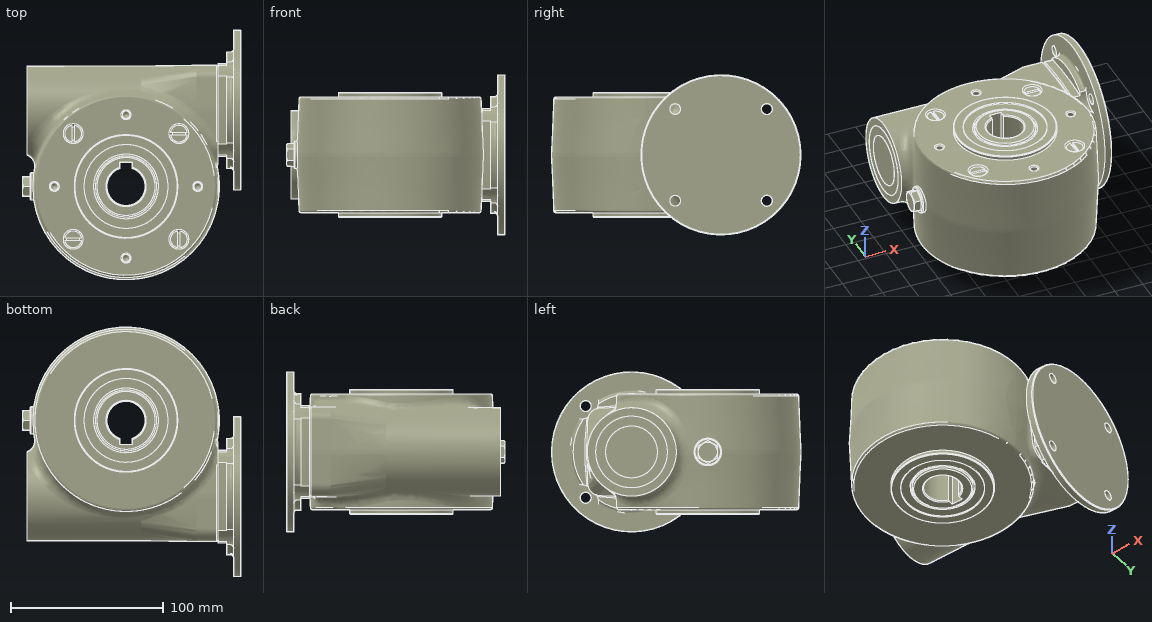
import cadquery as cq
import math

DRUM_RADIUS = 61.22
DRUM_END_RADIUS = 59.7
DRUM_HALF_HEIGHT = 38.0
DRUM_EDGE_ROUND = 1.5
PARTING_BAND_HALF_WIDTH = 1.25

HUB_DIAMETER = 68.0
HUB_HALF_HEIGHT = 41.0
HUB_CHAMFER = 0.5
SEAL_DIAMETER = 55.0
SEAL_RECESS_DEPTH = 1.0
SEAL_LIP_DIAMETER = 42.5
SHAFT_DIAMETER = 40.0
SHAFT_CHAMFER = 1.0
SHAFT_GROOVE_DEPTH = 2.0
BORE_DIAMETER = 25.0
BORE_CHAMFER = 0.7
KEYWAY_WIDTH = 8.0
KEYWAY_TOP = 15.8

SCREW_OFFSET = 34.65
COUNTERSINK_DIAMETER = 13.0
SCREW_HEAD_DIAMETER = 11.0
SCREW_SLOT_WIDTH = 1.6
SCREW_SLOT_DEPTH = 1.2
TAPPED_CIRCLE_RADIUS = 47.0
TAPPED_HOLE_DIAMETER = 4.92
TAPPED_HOLE_MOUTH = 6.5
TAPPED_HOLE_DEPTH = 12.0
DRILL_POINT_ANGLE = 118.0

WORM_Y = 50.0
WORM_RADIUS = 29.0
WORM_START_X = -65.0
WORM_ROUND_END_X = 10.0
SQUARE_START_X = 46.4
SQUARE_END_X = 60.3
SQUARE_HALF = 28.7
SQUARE_RIDGE_HALF = 29.5
SQUARE_RIDGE_HALF_WIDTH = 1.5
SQUARE_CORNER = 8.1
SQUARE_END_CHAMFER = 1.0
CAP_DIAMETER = 47.0
CAP_CENTRE_DIAMETER = 34.0
CAP_STEP = 0.1
BLEND_RADIUS = 7.6
BLEND_RUN_OUT = 20.0
SEAM_SAMPLE = 0.4
SEAM_TOLERANCE = 0.01

FLANGE_DIAMETER = 105.0
FLANGE_BACK_X = 70.5
FLANGE_FACE_X = 75.5
FLANGE_EDGE_CHAMFER = 0.5
FLANGE_HOLE_DIAMETER = 7.0
FLANGE_HOLE_CIRCLE = 85.0
NECK_START_X = 66.0
NECK_DIAMETER = 76.5
NECK_FILLET = 2.0
PAD_HALF_MIDDLE = 30.6
PAD_HALF_CORNER = 28.4
RELIEF_PITCH = 67.0
RELIEF_RADIUS = 12.0

PLUG_END_X = -68.0
PLUG_COLLAR_X = -63.0
PLUG_COLLAR_DIAMETER = 18.0
PLUG_COLLAR_NOSE = 16.66
PLUG_HEX_FLATS = 13.0
PLUG_HEX_NOSE = 12.6
PLUG_HEX_NOSE_ANGLE = 30.0


def x_plane(x, y=0.0):
    """Sketch plane facing +X: local x is +Y and local y is +Z."""
    return cq.Workplane("YZ", origin=(x, y, 0))


def make_drum():
    profile = (
        cq.Workplane("XZ")
        .moveTo(0, -DRUM_HALF_HEIGHT)
        .lineTo(DRUM_END_RADIUS, -DRUM_HALF_HEIGHT)
        .lineTo(DRUM_RADIUS, -PARTING_BAND_HALF_WIDTH)
        .lineTo(DRUM_RADIUS, PARTING_BAND_HALF_WIDTH)
        .lineTo(DRUM_END_RADIUS, DRUM_HALF_HEIGHT)
        .lineTo(0, DRUM_HALF_HEIGHT)
        .close()
    )
    drum = profile.revolve(360, (0, 0), (0, 1))
    return drum.faces("<Z or >Z").edges().fillet(DRUM_EDGE_ROUND)


def quarter_turned(point, quarter):
    turn = math.radians(90 * quarter)
    u, v = point
    return (u * math.cos(turn) - v * math.sin(turn), u * math.sin(turn) + v * math.cos(turn))


def square_outline(x, inset=0.0):
    """Rounded square whose sides slope slightly from a narrow flat ridge to the corners."""
    side = SQUARE_HALF - inset
    ridge = SQUARE_RIDGE_HALF - inset
    flat = SQUARE_HALF - SQUARE_CORNER
    corner = flat + (SQUARE_CORNER - inset) * math.sqrt(0.5)
    outline = x_plane(x, WORM_Y).moveTo(side, -flat)
    for quarter in range(4):
        outline = outline.lineTo(*quarter_turned((ridge, -SQUARE_RIDGE_HALF_WIDTH), quarter))
        outline = outline.lineTo(*quarter_turned((ridge, SQUARE_RIDGE_HALF_WIDTH), quarter))
        outline = outline.lineTo(*quarter_turned((side, flat), quarter))
        outline = outline.threePointArc(
            quarter_turned((corner, corner), quarter), quarter_turned((flat, side), quarter)
        )
    return outline.close()


def round_outline(x):
    """Circle split in line with the corners of the square outline."""

    def on_circle(angle):
        return (WORM_RADIUS * math.cos(angle), WORM_RADIUS * math.sin(angle))

    side_end = math.atan2(SQUARE_HALF - SQUARE_CORNER, SQUARE_HALF)
    ridge_end = math.atan2(SQUARE_RIDGE_HALF_WIDTH, SQUARE_RIDGE_HALF)
    splits = [-side_end, -ridge_end, ridge_end, side_end, math.pi / 2 - side_end]
    outline = x_plane(x, WORM_Y).moveTo(*on_circle(-side_end))
    for quarter in range(4):
        for start, end in zip(splits, splits[1:]):
            middle = on_circle((start + end) / 2)
            outline = outline.threePointArc(
                quarter_turned(middle, quarter), quarter_turned(on_circle(end), quarter)
            )
    return outline.close()


def make_worm_housing():
    start = WORM_START_X - BLEND_RUN_OUT
    end = SQUARE_END_X + BLEND_RUN_OUT
    barrel = x_plane(start, WORM_Y).circle(WORM_RADIUS).extrude(WORM_ROUND_END_X - start)
    wires = [round_outline(WORM_ROUND_END_X).val(), square_outline(SQUARE_START_X).val()]
    change = cq.Workplane(cq.Solid.makeLoft(wires, True))
    square = square_outline(SQUARE_START_X).extrude(end - SQUARE_START_X)
    return barrel.union(change).union(square)


def make_housing():
    drum = make_drum()
    worm = make_worm_housing()
    joined = drum.union(worm)

    drum_skin = drum.val().Shells()[0]
    worm_skin = worm.val().Shells()[0]

    def on_both(edge):
        point = cq.Vertex.makeVertex(*edge.positionAt(SEAM_SAMPLE).toTuple())
        return drum_skin.distance(point) < SEAM_TOLERANCE and worm_skin.distance(point) < SEAM_TOLERANCE

    seam = [edge for edge in joined.edges().vals() if on_both(edge)]
    blended = joined.newObject(seam).fillet(BLEND_RADIUS)
    return trim_housing_ends(blended).union(drum)


def trim_housing_ends(blended):
    length = SQUARE_END_X - WORM_START_X
    keep = x_plane(WORM_START_X).rect(4 * DRUM_RADIUS, 4 * DRUM_RADIUS).extrude(length)
    return blended.intersect(keep).cut(make_square_end_chamfer())


def make_square_end_chamfer():
    """Frame that bevels the square end of the worm housing, clear of the drum blend."""
    start = SQUARE_END_X - SQUARE_END_CHAMFER
    wires = [square_outline(start).val(), square_outline(SQUARE_END_X, SQUARE_END_CHAMFER).val()]
    core = cq.Workplane(cq.Solid.makeLoft(wires, True))
    frame_bottom_y = WORM_Y - SQUARE_HALF + SQUARE_CORNER
    frame_top_y = WORM_Y + 2 * SQUARE_HALF
    frame = (
        x_plane(start, (frame_bottom_y + frame_top_y) / 2)
        .rect(frame_top_y - frame_bottom_y, 4 * SQUARE_HALF)
        .extrude(SQUARE_END_CHAMFER)
    )
    return frame.cut(core)


def make_hub():
    hub = cq.Workplane("XY", origin=(0, 0, -HUB_HALF_HEIGHT)).circle(HUB_DIAMETER / 2)
    hub = hub.extrude(2 * HUB_HALF_HEIGHT)
    return hub.faces("<Z or >Z").edges().chamfer(HUB_CHAMFER)


def make_seal_cut():
    """Seal recess, groove round the shaft and shaft chamfer, as one revolved cut at the top."""
    shaft_radius = SHAFT_DIAMETER / 2
    seal_z = HUB_HALF_HEIGHT - SEAL_RECESS_DEPTH
    profile = (
        cq.Workplane("XZ")
        .moveTo(shaft_radius - SHAFT_CHAMFER, HUB_HALF_HEIGHT)
        .lineTo(shaft_radius, HUB_HALF_HEIGHT - SHAFT_CHAMFER)
        .lineTo(shaft_radius, seal_z - SHAFT_GROOVE_DEPTH)
        .lineTo(SEAL_LIP_DIAMETER / 2, seal_z - SHAFT_GROOVE_DEPTH)
        .lineTo(SEAL_LIP_DIAMETER / 2, seal_z)
        .lineTo(SEAL_DIAMETER / 2, seal_z)
        .lineTo(SEAL_DIAMETER / 2, HUB_HALF_HEIGHT)
        .close()
    )
    return profile.revolve(360, (0, 0), (0, 1))


def make_bore_cut():
    base = cq.Workplane("XY", origin=(0, 0, -HUB_HALF_HEIGHT))
    height = 2 * HUB_HALF_HEIGHT
    bore = base.circle(BORE_DIAMETER / 2).extrude(height)
    keyway = base.center(0, KEYWAY_TOP / 2).rect(KEYWAY_WIDTH, KEYWAY_TOP).extrude(height)
    mouth = cq.Workplane(
        cq.Solid.makeCone(
            BORE_DIAMETER / 2,
            BORE_DIAMETER / 2 + BORE_CHAMFER,
            BORE_CHAMFER,
            pnt=cq.Vector(0, 0, HUB_HALF_HEIGHT - BORE_CHAMFER),
        )
    )
    return bore.union(keyway).union(mouth).union(mouth.mirror("XY"))


def make_screw_cut(x, y, slot_angle):
    """Countersink above a sunk screw head, with the driver slot in the head."""
    top_radius = COUNTERSINK_DIAMETER / 2
    head_radius = SCREW_HEAD_DIAMETER / 2
    head_depth = top_radius - head_radius
    slot_bottom_depth = head_depth + SCREW_SLOT_DEPTH

    def cone(depth):
        bottom = cq.Vector(x, y, DRUM_HALF_HEIGHT - depth)
        return cq.Workplane(cq.Solid.makeCone(top_radius - depth, top_radius, depth, pnt=bottom))

    slot = (
        cq.Workplane("XY", origin=(x, y, DRUM_HALF_HEIGHT - slot_bottom_depth))
        .transformed(rotate=(0, 0, slot_angle))
        .rect(COUNTERSINK_DIAMETER, SCREW_SLOT_WIDTH)
        .extrude(slot_bottom_depth)
    )
    return cone(head_depth).union(cone(slot_bottom_depth).intersect(slot))


def make_tapped_hole(x, y):
    drill_radius = TAPPED_HOLE_DIAMETER / 2
    mouth_radius = TAPPED_HOLE_MOUTH / 2
    point_length = drill_radius / math.tan(math.radians(DRILL_POINT_ANGLE / 2))
    profile = (
        cq.Workplane("XZ", origin=(x, y, DRUM_HALF_HEIGHT))
        .lineTo(mouth_radius, 0)
        .lineTo(drill_radius, drill_radius - mouth_radius)
        .lineTo(drill_radius, -TAPPED_HOLE_DEPTH)
        .lineTo(0, -TAPPED_HOLE_DEPTH - point_length)
        .close()
    )
    return profile.revolve(360, (0, 0), (0, 1))


def cut_drum_features(body):
    seal = make_seal_cut()
    body = body.cut(seal).cut(seal.mirror("XY")).cut(make_bore_cut())
    for x_side in (-1, 1):
        for y_side in (-1, 1):
            slot_angle = 0 if x_side == y_side else 90
            body = body.cut(make_screw_cut(x_side * SCREW_OFFSET, y_side * SCREW_OFFSET, slot_angle))
    for quarter in range(4):
        angle = math.radians(90 * quarter)
        x = TAPPED_CIRCLE_RADIUS * math.cos(angle)
        y = TAPPED_CIRCLE_RADIUS * math.sin(angle)
        body = body.cut(make_tapped_hole(x, y))
    return body


def corner_cylinders(pitch, radius, start_x, end_x):
    """Four cylinders along X on a square of the given pitch round the worm axis."""
    cylinders = x_plane(start_x, WORM_Y).rect(pitch, pitch, forConstruction=True).vertices()
    return cylinders.circle(radius).extrude(end_x - start_x)


def make_pad():
    """Square pad with bowed sides."""
    corner = (PAD_HALF_CORNER, PAD_HALF_CORNER)
    outline = x_plane(SQUARE_END_X, WORM_Y).moveTo(*quarter_turned(corner, -1))
    for quarter in range(4):
        side_middle = quarter_turned((PAD_HALF_MIDDLE, 0), quarter)
        outline = outline.threePointArc(side_middle, quarter_turned(corner, quarter))
    return outline.close().extrude(NECK_START_X - SQUARE_END_X)


def make_neck():
    """Round neck flaring into the flange."""
    radius = NECK_DIAMETER / 2
    flare_radius = radius + NECK_FILLET
    flare_x = FLANGE_BACK_X - NECK_FILLET
    mid_radius = flare_radius - NECK_FILLET * math.sqrt(0.5)
    mid_x = flare_x + NECK_FILLET * math.sqrt(0.5)
    profile = (
        cq.Workplane("XY", origin=(0, WORM_Y, 0))
        .moveTo(NECK_START_X, 0)
        .lineTo(NECK_START_X, radius)
        .lineTo(flare_x, radius)
        .threePointArc((mid_x, mid_radius), (FLANGE_BACK_X, flare_radius))
        .lineTo(FLANGE_BACK_X, 0)
        .close()
    )
    return profile.revolve(360, (0, 0), (1, 0))


def make_flange():
    plate = x_plane(FLANGE_BACK_X, WORM_Y).circle(FLANGE_DIAMETER / 2)
    plate = plate.extrude(FLANGE_FACE_X - FLANGE_BACK_X)
    plate = plate.faces(">X").edges().chamfer(FLANGE_EDGE_CHAMFER)
    hole_pitch = FLANGE_HOLE_CIRCLE * math.sqrt(0.5)
    holes = corner_cylinders(hole_pitch, FLANGE_HOLE_DIAMETER / 2, FLANGE_BACK_X, FLANGE_FACE_X)
    relief = corner_cylinders(RELIEF_PITCH, RELIEF_RADIUS, SQUARE_END_X, FLANGE_BACK_X)
    return plate.cut(holes).union(make_neck().union(make_pad()).cut(relief))


def make_cap_cut():
    """Two shallow steps that mark the cap in the closed end of the worm housing."""
    face = x_plane(WORM_START_X, WORM_Y)
    cap = face.circle(CAP_DIAMETER / 2).extrude(CAP_STEP)
    centre = face.circle(CAP_CENTRE_DIAMETER / 2).extrude(2 * CAP_STEP)
    return cap.union(centre)


def make_oil_plug():
    """Hexagon plug with a round collar, rooted inside the drum wall."""
    root_x = -DRUM_END_RADIUS
    collar = x_plane(PLUG_COLLAR_X).circle(PLUG_COLLAR_DIAMETER / 2).extrude(root_x - PLUG_COLLAR_X)
    collar = collar.faces("<X").edges().chamfer((PLUG_COLLAR_DIAMETER - PLUG_COLLAR_NOSE) / 2)

    head_length = PLUG_COLLAR_X - PLUG_END_X
    corner_diameter = PLUG_HEX_FLATS / math.cos(math.pi / 6)
    head = (
        x_plane(PLUG_END_X)
        .transformed(rotate=(0, 0, 90))
        .polygon(6, corner_diameter)
        .extrude(head_length)
    )
    nose_radius = PLUG_HEX_NOSE / 2
    wide_radius = nose_radius + head_length / math.tan(math.radians(PLUG_HEX_NOSE_ANGLE))
    nose = cq.Solid.makeCone(
        nose_radius, wide_radius, head_length, pnt=cq.Vector(PLUG_END_X, 0, 0), dir=cq.Vector(1, 0, 0)
    )
    return collar.union(head.intersect(cq.Workplane(nose)))


body = make_housing().union(make_hub()).union(make_oil_plug()).union(make_flange())
result = cut_drum_features(body).cut(make_cap_cut())